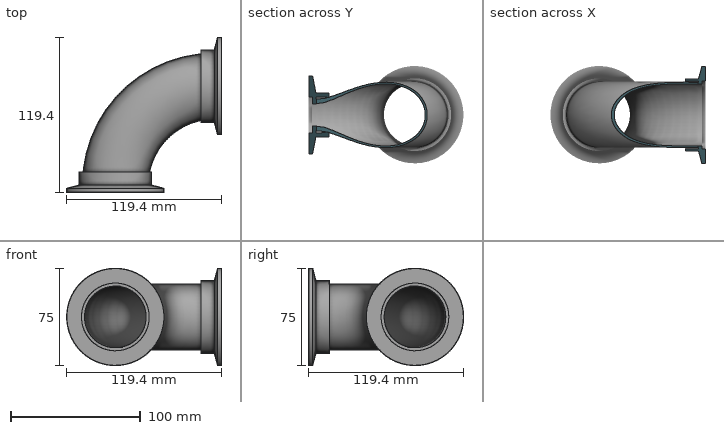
import cadquery as cq
import math

tube_od = 50.8
tube_wall = 1.65
tube_bore = tube_od - 2 * tube_wall
bend_radius = 1.5 * tube_od
bend_angle = 90

flange_od = 75.0
rim_thickness = 3.1
taper_angle = 15
collar_od = 56.0
flange_length = 15.9
recess_diameter = 52.2
recess_depth = 2.6
lip_length = 3.1
socket_diameter = 52.0

socket_floor = recess_depth + lip_length
taper_length = (flange_od - collar_od) / 2 * math.tan(math.radians(taper_angle))

face_distance = bend_radius + socket_floor


def make_bend(diameter):
    """Solid quarter bend, from the inlet socket floor to the outlet socket floor."""
    inlet_end = cq.Workplane("XZ", origin=(0, -bend_radius, 0))
    return inlet_end.circle(diameter / 2).revolve(
        bend_angle, (bend_radius, 1, 0), (bend_radius, -1, 0)
    )


def make_elbow():
    """Quarter-bend tube with a constant wall."""
    return make_bend(tube_od).cut(make_bend(tube_bore))


def make_flange():
    """Flange of revolution about Y, sealing face at Y = 0, collar toward +Y."""
    rim_radius = flange_od / 2
    collar_radius = collar_od / 2
    bore_radius = tube_bore / 2
    recess_radius = recess_diameter / 2
    socket_radius = socket_diameter / 2
    profile = [
        (recess_radius, 0),
        (rim_radius, 0),
        (rim_radius, rim_thickness),
        (collar_radius, rim_thickness + taper_length),
        (collar_radius, flange_length),
        (socket_radius, flange_length),
        (socket_radius, socket_floor),
        (bore_radius, socket_floor),
        (bore_radius, recess_depth),
        (recess_radius, recess_depth),
    ]
    return cq.Workplane("XY").polyline(profile).close().revolve(360, (0, 0, 0), (0, 1, 0))


elbow = make_elbow()

flange_places = [
    (0, (0, -face_distance, 0)),
    (90, (face_distance, 0, 0)),
]

tube_envelope = make_bend(tube_od)
flanges = []
for turn, face_centre in flange_places:
    flange = make_flange().rotate((0, 0, 0), (0, 0, 1), turn).translate(face_centre)
    flanges.append(flange.cut(tube_envelope))

result = cq.Compound.makeCompound(
    [elbow.solids().val(), *[flange.solids().val() for flange in flanges]]
)